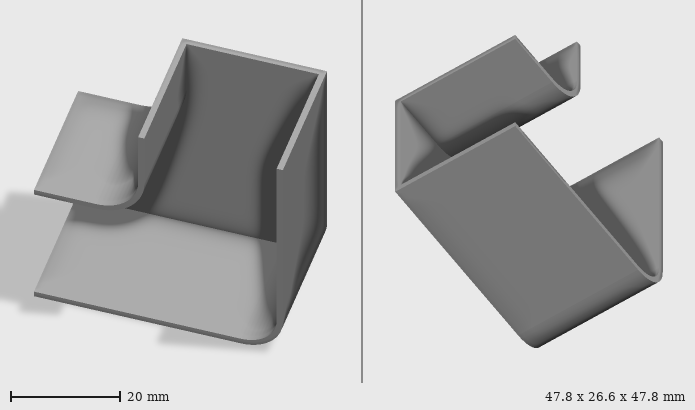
import cadquery as cq

bore = 25.4
wall = 1.2
arm_extension = 20.0
throat_radius = 8.0
heel_radius = 8.0

channel_width = bore + 2 * wall
overall_length = arm_extension + channel_width
overall_depth = bore + wall


def elbow(inset, depth, throat, heel):
    """Solid L-shaped elbow with side faces moved inward by inset, from Y = 0 to Y = depth."""
    low_side = arm_extension + inset
    high_side = overall_length - inset
    outline = (
        cq.Workplane("XZ")
        .moveTo(0, inset)
        .lineTo(high_side, inset)
        .lineTo(high_side, overall_length)
        .lineTo(low_side, overall_length)
        .lineTo(low_side, channel_width - inset)
        .lineTo(0, channel_width - inset)
        .close()
    )
    blank = outline.extrude(-depth)
    throat_edge = cq.selectors.NearestToPointSelector((low_side, depth / 2, channel_width - inset))
    heel_edge = cq.selectors.NearestToPointSelector((high_side, depth / 2, inset))
    return blank.edges(throat_edge).fillet(throat).edges(heel_edge).fillet(heel)


body = elbow(0, overall_depth, throat_radius, heel_radius)
channel = elbow(wall, bore, throat_radius + wall, heel_radius - wall)

result = body.cut(channel)